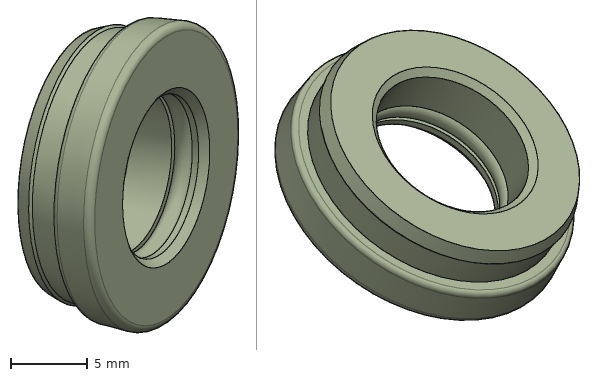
import cadquery as cq

length = 6.2

nose_tip_radius = 9.03
barb_radius = 9.38
barb_x = 1.0
neck_radius = 9.21
neck_start_x = 1.19

flange_radius = 10.4
flange_start_radius = 10.25
flange_start_x = 3.2
flange_front_fillet = 0.4
flange_rear_fillet = 0.55

bore_radius = 5.51
bore_mouth_radius = 6.01
front_chamfer_length = 0.44
rear_chamfer_length = 0.56

ring_section = 1.5
ring_inner_radius = 5.35
gland_start_x = 3.62
gland_width = 1.54
gland_end_x = gland_start_x + gland_width
gland_floor_radius = ring_inner_radius + ring_section


def revolve_about_x(profile):
    """Turn a closed X-radius profile a full circle about the X axis."""
    return profile.revolve(360, (0, 0, 0), (1, 0, 0))


def make_housing():
    profile = (
        cq.Workplane("XZ")
        .moveTo(0, bore_mouth_radius)
        .lineTo(0, nose_tip_radius)
        .lineTo(barb_x, barb_radius)
        .lineTo(neck_start_x, neck_radius)
        .lineTo(flange_start_x, neck_radius)
        .lineTo(flange_start_x, flange_start_radius - flange_front_fillet)
        .radiusArc((flange_start_x + flange_front_fillet, flange_start_radius), flange_front_fillet)
        .lineTo(length - flange_rear_fillet, flange_radius)
        .radiusArc((length, flange_radius - flange_rear_fillet), flange_rear_fillet)
        .lineTo(length, bore_mouth_radius)
        .lineTo(length - rear_chamfer_length, bore_radius)
        .lineTo(gland_end_x, bore_radius)
        .lineTo(gland_end_x, gland_floor_radius)
        .lineTo(gland_start_x, gland_floor_radius)
        .lineTo(gland_start_x, bore_radius)
        .lineTo(front_chamfer_length, bore_radius)
        .close()
    )
    return revolve_about_x(profile)


def make_o_ring():
    section_radius = ring_section / 2
    section_center_x = gland_start_x + gland_width / 2
    section_center_radius = ring_inner_radius + section_radius
    section = (
        cq.Workplane("XZ")
        .center(section_center_x, section_center_radius)
        .circle(section_radius)
    )
    return section.revolve(
        360, (0, -section_center_radius, 0), (1, -section_center_radius, 0)
    )


housing = make_housing()
o_ring = make_o_ring()

result = cq.Compound.makeCompound([housing.val(), o_ring.val()])